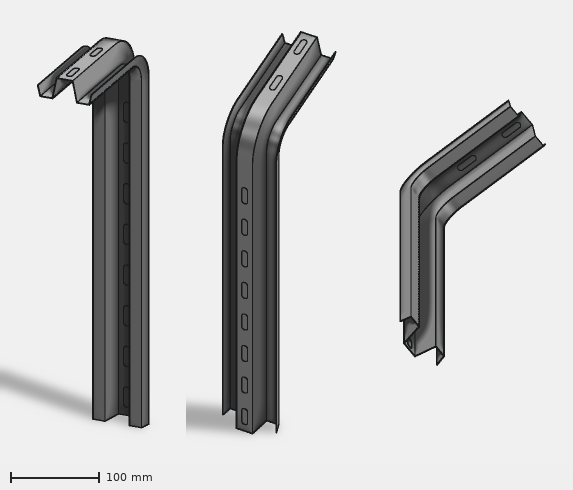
import cadquery as cq
import math

height = 478.5
reach = 170.0
section_width = 68.0
section_depth = 27.0
sheet = 1.0
bend_radius = 52.0
post_length = height - bend_radius

web_half = 9.5
wall_foot_half = 15.0
flange_half = 30.5
lip_tip_depth = 13.5

slot_length = 25.0
slot_width = 7.0
slot_recess = sheet / 2
end_margin = 22.5
post_slot_count = 8
post_slot_span = 350.0
post_slot_pitch = post_slot_span / (post_slot_count - 1)
arm_slot_count = 2
arm_slot_pitch = 64.0


def lean_shift(run, drop):
    """Sideways move of a bend corner between a flat and a wall leaning by run over drop."""
    return sheet * (math.hypot(run, drop) - run) / drop


def section_profile():
    """Hat section at the foot of the post, with its web along the +Y side."""
    lip_half = section_width / 2
    wall_run = wall_foot_half - web_half
    wall_drop = section_depth - sheet
    lip_run = lip_half - flange_half
    lip_drop = section_depth - lip_tip_depth
    wall_shift = lean_shift(wall_run, wall_drop)
    lip_shift = lean_shift(lip_run, lip_drop)
    lip_thickness = sheet * math.hypot(lip_run, lip_drop) / lip_drop

    underside = [
        (web_half, -sheet),
        (wall_foot_half, -section_depth),
        (flange_half, -section_depth),
        (lip_half, -lip_tip_depth),
    ]
    upper_side = [
        (lip_half - lip_thickness, -lip_tip_depth),
        (flange_half - lip_shift, sheet - section_depth),
        (wall_foot_half + wall_shift, sheet - section_depth),
        (web_half + wall_shift, 0),
    ]
    right_half = underside + upper_side
    left_half = [(-x, y) for x, y in reversed(right_half)]
    return cq.Workplane("XY").polyline(right_half + left_half).close()


def bent_channel():
    """Post, quarter bend and arm, following the outside face of the web."""
    arc_offset = bend_radius * math.sqrt(0.5)
    path = (
        cq.Workplane("YZ")
        .lineTo(0, post_length)
        .threePointArc(
            (arc_offset - bend_radius, post_length + arc_offset),
            (-bend_radius, height),
        )
        .lineTo(-reach, height)
    )
    return section_profile().sweep(path, transition="right")


def slot_cutters(plane, origin, centres):
    """Slots along the local Y axis, sunk below the given face."""
    return (
        cq.Workplane(plane, origin=origin)
        .pushPoints([(0, centre) for centre in centres])
        .slot2D(slot_length, slot_width, 90)
        .extrude(-slot_recess)
    )


post_slots = slot_cutters(
    "XZ",
    (0, -sheet, 0),
    [end_margin + i * post_slot_pitch for i in range(post_slot_count)],
)
arm_slots = slot_cutters(
    "XY",
    (0, 0, height),
    [end_margin - reach + i * arm_slot_pitch for i in range(arm_slot_count)],
)

result = bent_channel().cut(post_slots).cut(arm_slots)